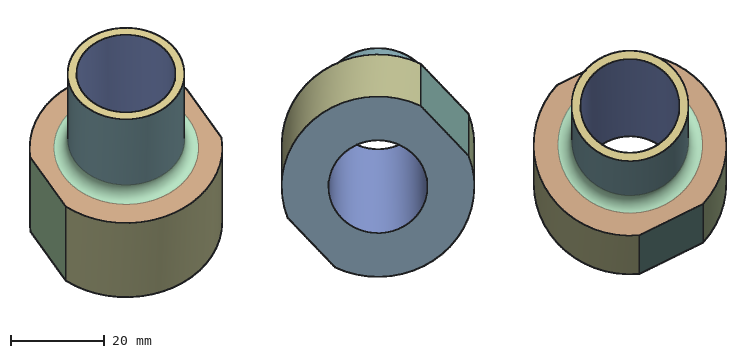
import cadquery as cq

total_height = 50.8
body_height = 25.45
body_diameter = 41.05
width_across_flats = 38.1
tube_diameter = 24.9
bore_diameter = 21.1
neck_fillet_radius = 2.95


def make_body():
    """Round body with two parallel wrench flats facing -Y and +Y."""
    flats = cq.Workplane("XY").rect(body_diameter, width_across_flats).extrude(body_height)
    return cq.Workplane("XY").circle(body_diameter / 2).extrude(body_height).intersect(flats)


def make_tube():
    """Tube standing on the body, flaring into its top face with a concave fillet."""
    tube_radius = tube_diameter / 2
    flare_radius = tube_radius + neck_fillet_radius
    fillet_top = body_height + neck_fillet_radius
    return (
        cq.Workplane("XZ")
        .lineTo(flare_radius, 0)
        .lineTo(flare_radius, body_height)
        .radiusArc((tube_radius, fillet_top), neck_fillet_radius)
        .lineTo(tube_radius, total_height)
        .lineTo(0, total_height)
        .close()
        .revolve(360, (0, 0), (0, 1))
    )


def make_bore():
    """Straight bore through the full height."""
    return cq.Workplane("XY").circle(bore_diameter / 2).extrude(total_height)


result = make_body().union(make_tube()).cut(make_bore())